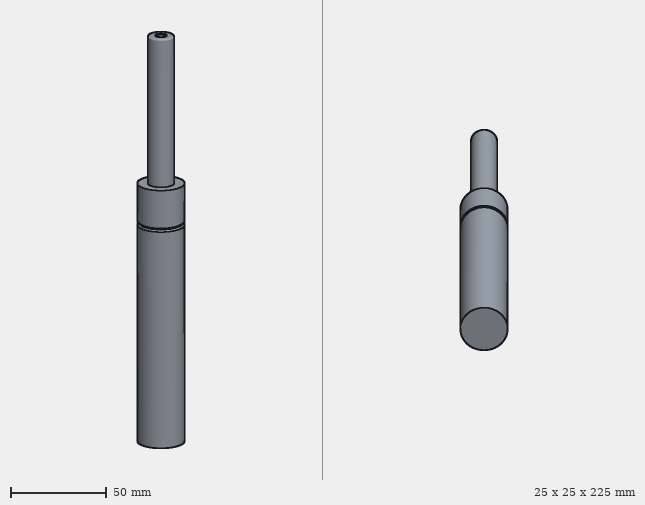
import cadquery as cq
import math

total_length = 225.0
body_diameter = 25.0
body_length = 143.0
rod_diameter = 14.0
rod_fillet = 1.0

groove_radius = 1.0
head_length = 21.0

hole_diameter = 5.0
hole_mouth_diameter = 6.0
hole_depth = 15.0
drill_point_angle = 118.0


def make_body():
    """Plain cylinder standing on the XY plane."""
    return cq.Workplane("XY").circle(body_diameter / 2).extrude(body_length)


def make_rod():
    """Rod rising from the body, rounded at its free end."""
    rod = (
        cq.Workplane("XY")
        .workplane(offset=body_length)
        .circle(rod_diameter / 2)
        .extrude(total_length - body_length)
    )
    return rod.faces(">Z").edges().fillet(rod_fillet)


def make_groove():
    """Torus that cuts the half-round groove around the body."""
    groove_z = body_length - head_length - groove_radius
    return (
        cq.Workplane("XZ")
        .center(-body_diameter / 2, groove_z)
        .circle(groove_radius)
        .revolve(360, (body_diameter / 2, 0), (body_diameter / 2, 1))
    )


def make_rod_hole():
    """Drilled hole with a countersunk mouth and a conical bottom."""
    hole_radius = hole_diameter / 2
    mouth_radius = hole_mouth_diameter / 2
    mouth_depth = mouth_radius - hole_radius
    point_depth = hole_radius / math.tan(math.radians(drill_point_angle / 2))
    profile = [
        (0, total_length),
        (mouth_radius, total_length),
        (hole_radius, total_length - mouth_depth),
        (hole_radius, total_length - hole_depth),
        (0, total_length - hole_depth - point_depth),
    ]
    return cq.Workplane("XZ").polyline(profile).close().revolve(360, (0, 0), (0, 1))


result = make_body().union(make_rod()).cut(make_groove()).cut(make_rod_hole())